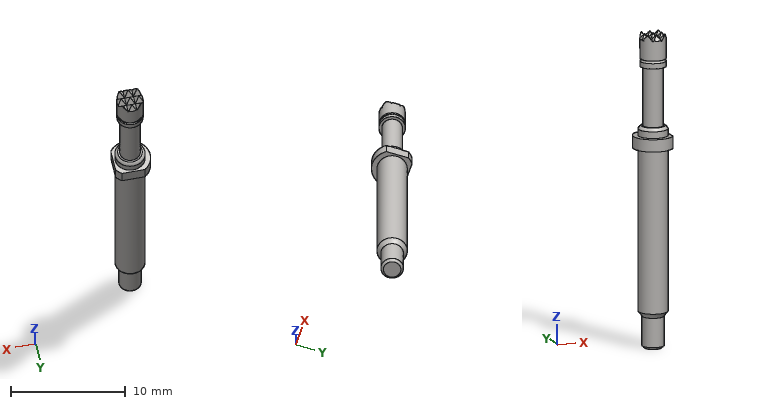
import cadquery as cq

TOTAL_LENGTH = 28.3

TAIL_RADIUS = 1.0
TAIL_CHAMFER = 0.23

BARREL_RADIUS = 1.33
BARREL_SHOULDER = 3.3
NECK_MIDDLE_RADIUS = 1.1
NECK_MIDDLE = 3.05
NECK_BOTTOM = 2.85
BARREL_TOP = 19.98
RIM_RADIUS = 1.08
RIM_BOTTOM = 19.7
RIM_MIDDLE_RADIUS = 1.22
RIM_MIDDLE = 19.87

COLLAR_RADIUS = 1.8
COLLAR_FLAT_DISTANCE = 1.5
COLLAR_BOTTOM = 18.0
COLLAR_TOP = 19.1

ROD_RADIUS = 0.9
HEAD_RADIUS = 1.15
HEAD_BOTTOM = 25.3
GROOVE_CENTER = 25.9
GROOVE_RADIUS = 0.1

TEETH_PER_ROW = 3
TOOTH_PITCH = 0.8
TOOTH_HEIGHT = 0.57


def cylinder(radius, bottom, top):
    return cq.Workplane("XY").workplane(offset=bottom).circle(radius).extrude(top - bottom)


def make_tail():
    return cylinder(TAIL_RADIUS, 0, NECK_BOTTOM).faces("<Z").chamfer(TAIL_CHAMFER)


def make_barrel():
    """Round bar with a rounded top rim, narrowing to the tail in a hollow curve."""
    return (
        cq.Workplane("XZ")
        .moveTo(0, NECK_BOTTOM)
        .lineTo(TAIL_RADIUS, NECK_BOTTOM)
        .threePointArc((NECK_MIDDLE_RADIUS, NECK_MIDDLE), (BARREL_RADIUS, BARREL_SHOULDER))
        .lineTo(BARREL_RADIUS, RIM_BOTTOM)
        .threePointArc((RIM_MIDDLE_RADIUS, RIM_MIDDLE), (RIM_RADIUS, BARREL_TOP))
        .lineTo(0, BARREL_TOP)
        .close()
        .revolve(360, (0, 0, 0), (0, 1, 0))
    )


def make_collar():
    collar = cylinder(COLLAR_RADIUS, COLLAR_BOTTOM, COLLAR_TOP)
    square_side = 2 * COLLAR_RADIUS
    flat_offset = COLLAR_FLAT_DISTANCE - COLLAR_RADIUS
    limits = (
        cq.Workplane("XY")
        .workplane(offset=COLLAR_BOTTOM)
        .center(flat_offset, flat_offset)
        .rect(square_side, square_side)
        .extrude(COLLAR_TOP - COLLAR_BOTTOM)
    )
    return collar.intersect(limits)


def make_tooth_groove(plane, center):
    """V-shaped groove across the whole head, with its lowest line at the tooth roots."""
    half_width = TOOTH_PITCH / 2
    return (
        cq.Workplane(plane)
        .moveTo(center - half_width, TOTAL_LENGTH)
        .lineTo(center, TOTAL_LENGTH - TOOTH_HEIGHT)
        .lineTo(center + half_width, TOTAL_LENGTH)
        .close()
        .extrude(2 * HEAD_RADIUS, both=True)
    )


def make_head():
    head = cylinder(HEAD_RADIUS, HEAD_BOTTOM, TOTAL_LENGTH)
    ring_groove = cq.Solid.makeTorus(HEAD_RADIUS, GROOVE_RADIUS, cq.Vector(0, 0, GROOVE_CENTER))
    head = head.cut(cq.Workplane(ring_groove))
    for plane in ("XZ", "YZ"):
        for index in range(TEETH_PER_ROW + 1):
            center = (index - TEETH_PER_ROW / 2) * TOOTH_PITCH
            head = head.cut(make_tooth_groove(plane, center))
    return head


rod = cylinder(ROD_RADIUS, BARREL_TOP, HEAD_BOTTOM)

result = make_tail().union(make_barrel()).union(make_collar()).union(rod).union(make_head())